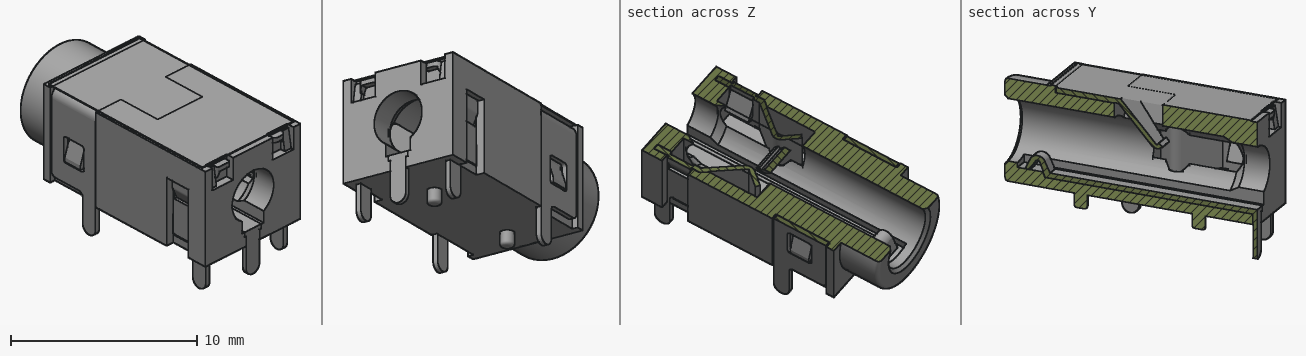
import cadquery as cq
import math


length = 15.0
nose_length = 2.5
half_width = 3.55
height = 6.0
axis_z = height / 2
nose_diameter = 6.0
nose_round = 0.22
cover_thickness = 0.05
cover_start = 2.72
cover_end = 14.62
cover_half_width = 3.4

bore_radius = 1.8
bore_lead_in = 0.2
rear_hole_radius = 1.55
taper_start = 13.0
taper_length = 0.5

peg_diameter = 0.8
peg_length = 0.82
peg_round = 0.18
peg_places = (4.5, 11.5)

joint_overlap = 0.01
sheet = 0.3
leg_width = 1.0
leg_depth = 2.0
rear_leg_depth = 1.95
rear_leg_sheet = 0.27

groove_start = 3.0
groove_end = 6.52
shell_start = 3.05
shell_end = 6.45
shell_outer = 3.5
shell_inner = shell_outer - sheet
shell_top = 5.95
shell_bend = 0.6
shell_bottom = 0.45
shell_corner = 0.3
window_start = 3.98
window_end = 5.56
window_bottom = 1.73
window_top = 3.37
window_round = 0.2

barb_start = 4.13
barb_end = 5.34
barb_bottom = 1.82
barb_crest = 2.1
barb_top = 3.19

flap_angle = 47
flap_fold_z = 3.21
flap_fold_half_width = 0.76
flap_bend = 0.45
flap_taper = 0.29
flap_hook = 0.5
flap_clearance = 0.1

plate_outer = 3.05
plate_inner = plate_outer - sheet
plate_start = 11.95
plate_bottom = 0.56
plate_ledge = 0.5
plate_top = 4.6
side_leg_start = 13.5
side_leg_end = side_leg_start + leg_width
plate_fillet = 0.2
side_pocket_start = 12.0
side_pocket_end = 13.67
side_pocket_top = 4.29
lance_start = 12.08
lance_end = 13.59
lance_bottom = 2.8
lance_root = 4.26
lance_outer = 3.19
lance_bend_z = 3.5
lance_end_y = 2.6
lance_angle = 65
lance_bend = 0.42
arm_bottom = 1.75
arm_top = 4.5
arm_fold_x = 9.5
arm_fold_y = 1.02
arm_bend = 0.55
arm_tip_y = 2.0
arm_angle = 40
arm_clearance = 0.1
arm_pocket_inner = 1.6
lobe_top = 5.8
lobe_inner = 1.62
lobe_bend = 2.55
lobe_end = 14.92
lobe_corner_left = 0.35
lobe_corner_right = 0.12
web_end = 14.4

recess_start = 14.5
recess_inner = 1.48
recess_outer = 3.03
ramp_head = 14.62
ramp_foot = 14.82
ramp_top = 5.8

slot_start = 0.77
slot_half_width = 0.8
slot_floor = 0.93
strip_half_width = 0.62
hump_foot = 1.2
hump_crest_x = 1.95
hump_crest_z = 1.82
hump_shoulder_x = 1.53
hump_shoulder_z = 1.6


def box(x0, x1, y0, y1, z0, z1):
    """Box between two opposite corners."""
    return cq.Workplane("XY").box(x1 - x0, y1 - y0, z1 - z0, centered=False).translate((x0, y0, z0))


def mirrored_boxes(x0, x1, y0, y1, z0, z1):
    """The same box on the +Y and -Y sides."""
    right_box = box(x0, x1, y0, y1, z0, z1)
    return right_box.union(right_box.mirror("XZ"))


def bent_strip(path, thickness):
    """Closed outline of a sheet: the path and its mitred copy on the left of the travel direction."""
    angles = [math.atan2(b[1] - a[1], b[0] - a[0]) for a, b in zip(path, path[1:])]
    before = [angles[0]] + angles
    after = angles + [angles[-1]]
    offset = []
    for (u, v), first, second in zip(path, before, after):
        middle = (first + second) / 2
        reach = thickness / math.cos((second - first) / 2)
        offset.append((u - reach * math.sin(middle), v + reach * math.cos(middle)))
    return path + offset[::-1]


def leg_tip_arc(sketch, start, end, depth=leg_depth):
    """Half-round leg tip at the lower end of a leg, from one edge to the other."""
    return sketch.threePointArc(((start + end) / 2, -depth), (end, -depth + leg_width / 2))



def rounded_block(x0, x1, half, top, bend, bottom):
    """Block along X whose two upper edges are rounded."""
    return box(x0, x1, -half, half, bottom, top).edges("|X and >Z").fillet(bend)


def make_shell():
    outside = rounded_block(shell_start, shell_end, shell_outer, shell_top, shell_bend, -leg_depth)
    inside = rounded_block(
        shell_start, shell_end, shell_inner, shell_top - sheet, shell_bend - sheet, -leg_depth
    )
    leg_start = shell_end - leg_width
    side = (
        cq.Workplane("XZ", origin=(0, half_width, 0))
        .moveTo(shell_start, height)
        .lineTo(shell_start, shell_bottom + shell_corner)
        .radiusArc((shell_start + shell_corner, shell_bottom), -shell_corner)
        .lineTo(leg_start - shell_corner, shell_bottom)
        .radiusArc((leg_start, shell_bottom - shell_corner), shell_corner)
        .lineTo(leg_start, -leg_depth + leg_width / 2)
    )
    side = leg_tip_arc(side, leg_start, shell_end).lineTo(shell_end, height).close().extrude(2 * half_width)
    window = box(window_start, window_end, -half_width, half_width, window_bottom, window_top)
    window = window.edges("|Y").fillet(window_round)
    return outside.cut(inside).intersect(side).cut(window).union(make_flap())


def flap_path():
    """Underside of the top spring: flat root, slope down to the contact point, short upturned tip."""
    root_z = shell_top - sheet
    slope = math.radians(flap_angle)
    root_x = shell_end + sheet
    fold_x = root_x + (root_z - flap_fold_z) / math.tan(slope)
    return [
        (shell_end - joint_overlap, root_z),
        (root_x, root_z),
        (fold_x, flap_fold_z),
        (fold_x + flap_hook * math.cos(slope), flap_fold_z + flap_hook * math.sin(slope)),
    ]


def flap_outline(clearance):
    """Tapered outline of the top spring across the jack, widest at the top."""
    top_half_width = flap_fold_half_width + flap_taper * (height - flap_fold_z)
    bottom = flap_fold_half_width + clearance
    top = top_half_width + clearance
    return [(-bottom, flap_fold_z), (bottom, flap_fold_z), (top, height), (-top, height)]


def make_flap():
    profile = bent_strip(flap_path(), sheet)
    flap = cq.Workplane("XZ").polyline(profile).close().extrude(half_width, both=True)
    flap = flap.edges("|Y and <Z").fillet(flap_bend)
    outline = cq.Workplane("YZ").polyline(flap_outline(0)).close().extrude(length)
    return flap.intersect(outline)



def make_spring_plate():
    """Flat side plate with its leg, seen along Y, and the window left by the lance."""
    plate = (
        cq.Workplane("XZ", origin=(0, -plate_inner, 0))
        .moveTo(plate_start, plate_top)
        .lineTo(plate_start, plate_bottom)
        .lineTo(side_leg_start - plate_fillet, plate_bottom)
        .radiusArc((side_leg_start, plate_bottom - plate_fillet), plate_fillet)
        .lineTo(side_leg_start, -leg_depth + leg_width / 2)
    )
    plate = leg_tip_arc(plate, side_leg_start, side_leg_end)
    plate = plate.lineTo(side_leg_end, plate_top).close().extrude(sheet)
    window = box(lance_start, lance_end, -plate_outer, -plate_inner, lance_bottom, lance_root)
    return plate.cut(window)


def make_lance():
    """Tongue standing slightly proud of the plate and bent inwards at its lower end."""
    slope = math.radians(lance_angle)
    end_z = lance_bend_z - (lance_outer - lance_end_y) * math.tan(slope)
    path = [(-lance_outer, plate_top), (-lance_outer, lance_bend_z), (-lance_end_y, end_z)]
    tongue = cq.Workplane("YZ", origin=(lance_start, 0, 0)).polyline(bent_strip(path, sheet))
    tongue = tongue.close().extrude(lance_end - lance_start)
    lance_middle = (lance_start + lance_end) / 2
    outer_bend = cq.selectors.NearestToPointSelector((lance_middle, -lance_outer, lance_bend_z))
    tongue = tongue.edges(outer_bend).fillet(lance_bend)
    root = box(lance_start, lance_end, -lance_outer, -plate_inner, lance_root, plate_top)
    return tongue.union(root)


def arm_path():
    """Outline of the contact arm in plan, on its bore side: plate, contact fold, tip."""
    tip_x = arm_fold_x - (arm_tip_y - arm_fold_y) / math.tan(math.radians(arm_angle))
    return [
        (lance_start - joint_overlap, -plate_inner),
        (plate_start - sheet, -plate_inner),
        (arm_fold_x, -arm_fold_y),
        (tip_x, -arm_tip_y),
    ]


def make_arm():
    arm = cq.Workplane("XY", origin=(0, 0, arm_bottom)).polyline(bent_strip(arm_path(), sheet))
    arm = arm.close().extrude(arm_top - arm_bottom)
    crest = cq.selectors.NearestToPointSelector((arm_fold_x, -arm_fold_y, (arm_bottom + arm_top) / 2))
    return arm.edges(crest).fillet(arm_bend)


def make_lobe(corner):
    """Top of the plate, leaning inwards and ending in a flat lobe with rounded rear corners."""
    profile = [
        (-plate_outer, plate_top),
        (-lobe_bend, lobe_top),
        (-lobe_inner, lobe_top),
        (-lobe_inner, lobe_top - sheet),
        (-lobe_bend + sheet / 2, lobe_top - sheet),
        (-plate_inner, plate_top),
    ]
    leaf = cq.Workplane("YZ", origin=(plate_start, 0, 0)).polyline(profile).close()
    leaf = leaf.extrude(lobe_end - plate_start)
    leaf = leaf.cut(box(web_end, length, -plate_outer, -lobe_bend, plate_top, height))
    trim = box(plate_start, lobe_end, -lobe_bend, -lobe_inner, plate_top, height)
    trim = trim.edges("|Z and >X").fillet(corner)
    web = box(plate_start, web_end, -plate_outer, -lobe_bend, plate_top, height)
    return leaf.intersect(trim.union(web))


def make_side_spring(corner):
    return make_spring_plate().union(make_lance()).union(make_arm()).union(make_lobe(corner))



def make_bottom_contact():
    """Strip under the bore with a hump at its front end and a leg at its rear end."""
    strip_bottom = slot_floor - sheet
    hump_rear = 2 * hump_crest_x - hump_foot
    rear_shoulder = 2 * hump_crest_x - hump_shoulder_x
    strip = (
        cq.Workplane("XZ")
        .moveTo(hump_foot, slot_floor)
        .lineTo(hump_shoulder_x, hump_shoulder_z)
        .threePointArc((hump_crest_x, hump_crest_z), (rear_shoulder, hump_shoulder_z))
        .lineTo(hump_rear, slot_floor)
        .lineTo(length, slot_floor)
        .lineTo(length, strip_bottom)
        .lineTo(hump_rear - sheet, strip_bottom)
        .lineTo(rear_shoulder - sheet, hump_shoulder_z - sheet / 2)
        .threePointArc(
            (hump_crest_x, hump_crest_z - sheet), (hump_shoulder_x + sheet, hump_shoulder_z - sheet / 2)
        )
        .lineTo(hump_foot + sheet, slot_floor)
        .close()
        .extrude(strip_half_width, both=True)
    )
    half_leg = leg_width / 2
    leg = cq.Workplane("YZ", origin=(length - rear_leg_sheet, 0, 0)).moveTo(-half_leg, slot_floor)
    leg = leg.lineTo(-half_leg, -rear_leg_depth + half_leg)
    leg = leg_tip_arc(leg, -half_leg, half_leg, rear_leg_depth)
    leg = leg.lineTo(half_leg, slot_floor).close().extrude(rear_leg_sheet)
    return strip.union(leg)



def cylinder(radius, start, end):
    """Cylinder on the axis of the jack."""
    return cq.Workplane("YZ", origin=(start, 0, axis_z)).circle(radius).extrude(end - start)


def make_bore():
    """Bore with its lead-in, tapering to a smaller hole through the rear wall."""
    return (
        cq.Workplane("XZ")
        .moveTo(0, 0)
        .lineTo(0, bore_radius + bore_lead_in)
        .lineTo(bore_lead_in, bore_radius)
        .lineTo(taper_start, bore_radius)
        .lineTo(taper_start + taper_length, rear_hole_radius)
        .lineTo(length, rear_hole_radius)
        .lineTo(length, 0)
        .close()
        .revolve(360, (0, 0, 0), (1, 0, 0))
        .translate((0, 0, axis_z))
    )


def make_shell_groove():
    """Band around the sides and the top that takes the shell."""
    band = box(groove_start, groove_end, -half_width, half_width, 0, height)
    core = rounded_block(groove_start, groove_end, shell_inner, shell_top - sheet, shell_bend - sheet, 0)
    return band.cut(core)


def make_barbs():
    profile = [
        (-shell_inner, barb_top),
        (-half_width, barb_crest),
        (-half_width, barb_bottom),
        (-shell_inner, barb_bottom),
    ]
    barb = cq.Workplane("YZ", origin=(barb_start, 0, 0)).polyline(profile).close()
    barb = barb.extrude(barb_end - barb_start)
    return barb.union(barb.mirror("XZ"))


def make_arm_pockets():
    """Openings beside the bore for the arms and lances of the side springs."""
    tip_x = arm_path()[-1][0]
    bottom = arm_bottom - arm_clearance
    top = arm_top + arm_clearance
    return mirrored_boxes(tip_x - sheet, lance_end, arm_pocket_inner, plate_inner, bottom, top)


def make_side_pockets():
    """Openings in the side walls in front of the spring plates, with their windows and bottom gaps."""
    pockets = mirrored_boxes(
        side_pocket_start, side_pocket_end, plate_outer, half_width, 0, side_pocket_top
    )
    gap_end = side_leg_start - plate_fillet
    gaps = mirrored_boxes(
        side_pocket_start, gap_end, plate_inner, plate_outer, plate_ledge, plate_bottom
    )
    windows = mirrored_boxes(
        lance_start, lance_end, plate_inner, plate_outer, lance_bottom, lance_root
    )
    return pockets.union(gaps).union(windows)


def make_flap_pocket():
    """Opening above the bore in which the top spring moves."""
    outline = cq.Workplane("YZ", origin=(groove_end, 0, 0)).polyline(flap_outline(flap_clearance)).close()
    flap_end = flap_path()[-1][0]
    return outline.extrude(flap_end - groove_end)


def make_ramps():
    """Steep ramps in the outer corners of the rear recesses."""
    profile = [
        (recess_start, plate_top),
        (ramp_foot, plate_top),
        (ramp_head, ramp_top),
        (recess_start, ramp_top),
    ]
    ramp = cq.Workplane("XZ", origin=(0, -lobe_bend, 0)).polyline(profile).close()
    ramp = ramp.extrude(recess_outer - lobe_bend)
    return ramp.union(ramp.mirror("XZ"))


def make_housing():
    housing = box(nose_length, length, -half_width, half_width, 0, height)
    nose = cylinder(nose_diameter / 2, 0, nose_length).faces("<X").edges().fillet(nose_round)
    housing = housing.union(nose).cut(make_shell_groove()).union(make_barbs())
    housing = housing.cut(make_bore()).cut(make_arm_pockets()).cut(make_flap_pocket())
    housing = housing.cut(box(slot_start, length, -slot_half_width, slot_half_width, slot_floor, axis_z))
    housing = housing.cut(make_side_pockets())
    housing = housing.cut(mirrored_boxes(recess_start, length, recess_inner, recess_outer, plate_top, height))
    housing = housing.union(make_ramps())
    cover = box(
        cover_start, cover_end, -cover_half_width, cover_half_width, height, height + cover_thickness
    )
    housing = housing.union(cover)
    for place in peg_places:
        peg = cq.Workplane("XY", origin=(place, 0, 0)).circle(peg_diameter / 2).extrude(-peg_length)
        housing = housing.union(peg.faces("<Z").edges().fillet(peg_round))
    return housing


shell = make_shell()
right_spring = make_side_spring(lobe_corner_right)
left_spring = make_side_spring(lobe_corner_left).mirror("XZ")
bottom_contact = make_bottom_contact()

housing = make_housing()
for contact in (shell, right_spring, left_spring, bottom_contact):
    housing = housing.cut(contact)

bodies = (housing, shell, right_spring, left_spring, bottom_contact)
result = cq.Compound.makeCompound([body.solids().val() for body in bodies])